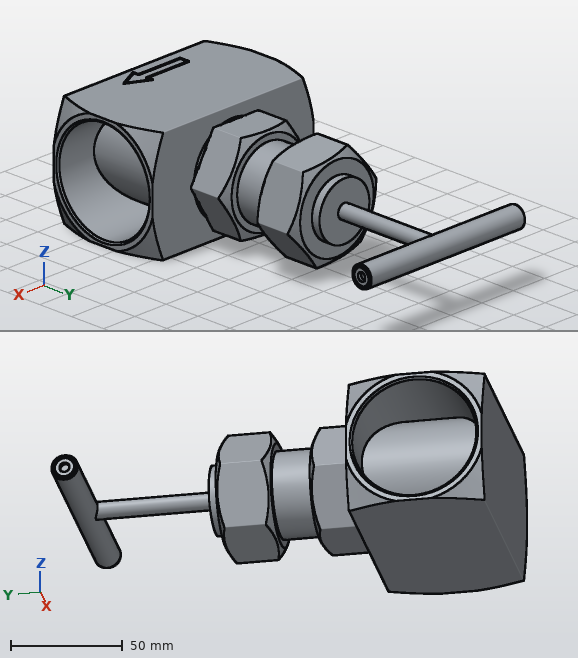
import cadquery as cq
import math

body_length = 103.0
body_width = 62.0
edge_round = 0.5
end_face_diameter = 64.2
bevel_slope = math.tan(math.radians(30))
bore_diameter = 56.7
bore_bevel = 1.0
core_diameter = bore_diameter

body_top = body_width / 2
collar_top = body_top + 1.8
lower_nut_top = 53.2
upper_nut_bottom = 71.1
upper_nut_top = 96.1
cap_top = 100.9
overall_length = 197

collar_diameter = 50.0
bonnet_diameter = 40.0
cap_diameter = 32.0
nut_flats = 50.0
nut_corners = nut_flats / math.cos(math.radians(30))
nut_face_diameter = 47.0
upper_nut_turn = 10

stem_diameter = 8.0
handle_diameter = 12.0
handle_length = 99.0
handle_bevel = 0.5
recess_rim_diameter = 9.0
recess_floor_diameter = 8.9
recess_depth = 0.2
center_hole_diameter = 4.5
center_hole_depth = 2.0
handle_y = overall_length - body_width / 2 - handle_diameter / 2

arrow_start = -23.0
arrow_neck = 3.5
arrow_tip = 16.2
arrow_y = -21.9
arrow_shaft_width = 5.7
arrow_head_width = 12.6
arrow_line_width = 0.5
arrow_depth = 0.4


def stem_axis_cylinder(diameter, start, end):
    """Round bar on the stem axis between two Y positions."""
    return cq.Workplane("XZ", origin=(0, start, 0)).circle(diameter / 2).extrude(start - end)


def bevel_spindle(face_diameter, half_length, outer_diameter):
    """Spindle about local Y: flat round ends that widen at 30 degrees to an outer diameter."""
    face_radius = face_diameter / 2
    outer_radius = outer_diameter / 2
    bevel_depth = (outer_radius - face_radius) * bevel_slope
    return (
        cq.Workplane("XY")
        .moveTo(0, -half_length)
        .lineTo(face_radius, -half_length)
        .lineTo(outer_radius, bevel_depth - half_length)
        .lineTo(outer_radius, half_length - bevel_depth)
        .lineTo(face_radius, half_length)
        .lineTo(0, half_length)
        .close()
        .revolve(360, (0, 0), (0, 1))
    )


def hex_nut(start, end, turn, bevel_both_ends):
    """Hexagon on the stem axis, beveled at its far end or at both ends."""
    length = end - start
    nut = (
        cq.Workplane("XZ", origin=(0, start, 0))
        .polygon(6, nut_corners)
        .extrude(-length)
        .edges("|Y")
        .fillet(edge_round)
        .rotate((0, 0, 0), (0, 1, 0), turn)
    )
    half_length = length / 2 if bevel_both_ends else length
    spindle = bevel_spindle(nut_face_diameter, half_length, nut_corners)
    return nut.intersect(spindle.translate((0, end - half_length, 0)))


def make_body():
    """Square bar with cone-turned ends, bored from both ends up to the round core."""
    bar = cq.Workplane("XY").box(body_length, body_width, body_width).edges("|X").fillet(edge_round)
    spindle = bevel_spindle(end_face_diameter, body_length / 2, 2 * body_width)
    bar = bar.intersect(spindle.rotate((0, 0, 0), (0, 0, 1), 90))
    bore = cq.Workplane("YZ").circle(bore_diameter / 2).extrude(body_length / 2, both=True)
    bore = bore.union(
        cq.Workplane("YZ", origin=(body_length / 2, 0, 0))
        .circle(bore_diameter / 2 + bore_bevel)
        .extrude(-bore_bevel, taper=45)
    )
    bore = bore.union(bore.mirror("YZ"))
    core = stem_axis_cylinder(core_diameter, -body_width / 2, body_width / 2)
    return bar.cut(bore.cut(core))


def make_arrow():
    """Shallow groove along the outline of the flow arrow, just under the top face."""
    half_shaft = arrow_shaft_width / 2
    half_head = arrow_head_width / 2
    outline = [
        (arrow_start, -half_shaft),
        (arrow_neck, -half_shaft),
        (arrow_neck, -half_head),
        (arrow_tip, 0),
        (arrow_neck, half_head),
        (arrow_neck, half_shaft),
        (arrow_start, half_shaft),
    ]
    top_face = cq.Workplane("XY", origin=(0, arrow_y, body_width / 2))
    arrow = top_face.polyline(outline).close().extrude(-arrow_depth)
    core = top_face.polyline(outline).close().offset2D(-arrow_line_width, "intersection").extrude(-arrow_depth)
    return arrow.cut(core)


def handle_end_profile():
    """Outline of one handle end above its axis, from its bevel in to the bottom of its center hole."""
    outer_radius = handle_diameter / 2
    end = handle_length / 2
    recess_floor = end - recess_depth
    hole_floor = recess_floor - center_hole_depth
    return [
        (end - handle_bevel, outer_radius),
        (end, outer_radius - handle_bevel),
        (end, recess_rim_diameter / 2),
        (recess_floor, recess_floor_diameter / 2),
        (recess_floor, center_hole_diameter / 2),
        (hole_floor, center_hole_diameter / 2),
        (hole_floor, 0),
    ]


def make_handle():
    """Cross bar along X with the same beveled, recessed and drilled shape at both ends."""
    right_end = handle_end_profile()
    left_end = [(-x, radius) for x, radius in reversed(right_end)]
    profile = cq.Workplane("XY").polyline(left_end + right_end).close()
    return profile.revolve(360, (0, 0), (1, 0)).translate((0, handle_y, 0))


result = (
    make_body()
    .cut(make_arrow())
    .union(stem_axis_cylinder(collar_diameter, body_top, collar_top))
    .union(hex_nut(collar_top, lower_nut_top, 0, False))
    .union(stem_axis_cylinder(bonnet_diameter, lower_nut_top, upper_nut_bottom))
    .union(hex_nut(upper_nut_bottom, upper_nut_top, upper_nut_turn, True))
    .union(stem_axis_cylinder(cap_diameter, upper_nut_top, cap_top))
    .union(stem_axis_cylinder(stem_diameter, cap_top, handle_y))
    .union(make_handle())
)